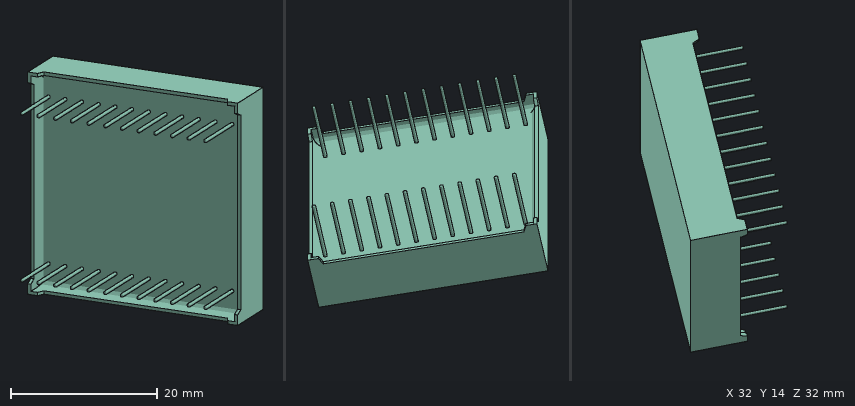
import cadquery as cq

side = 32.0
body_depth = 8.0
overall_depth = 14.0

wall = 0.5
cavity_depth = 2.43
floor_radius = 1.0

foot_width = 1.55
notch_slope = 0.48
notch_depth = 1.0

pins_per_row = 12
row_length = 27.95
row_spacing = 24.0
pin_diameter = 0.5
pin_tip_radius = 0.13

rim_y = -body_depth
floor_y = rim_y + cavity_depth
pin_pitch = row_length / (pins_per_row - 1)
pin_length = floor_y + overall_depth


def make_housing():
    """Square block hollowed from the rim, with rounded floor edges."""
    block = cq.Workplane("XZ").rect(side, side).extrude(body_depth)
    opening = side - 2 * wall
    cavity = (
        cq.Workplane("XZ", origin=(0, floor_y, 0))
        .rect(opening, opening)
        .extrude(cavity_depth)
        .faces(">Y")
        .edges()
        .fillet(floor_radius)
    )
    return block.cut(cavity)


def make_rim_notch(plane):
    """Trapezoidal bar that lowers two opposite rims between the corner feet."""
    half_mouth = side / 2 - foot_width
    half_root = half_mouth - notch_slope
    root_y = rim_y + notch_depth
    outline = [
        (-half_mouth, rim_y),
        (half_mouth, rim_y),
        (half_root, root_y),
        (-half_root, root_y),
    ]
    return cq.Workplane(plane).polyline(outline).close().extrude(side / 2, both=True)


def make_pins():
    """Both rows of round pins, rising from the cavity floor, with rounded tips."""
    return (
        cq.Workplane("XZ", origin=(0, floor_y, 0))
        .rarray(pin_pitch, row_spacing, pins_per_row, 2)
        .circle(pin_diameter / 2)
        .extrude(pin_length)
        .faces("<Y")
        .edges()
        .fillet(pin_tip_radius)
    )


housing = make_housing()
housing = housing.cut(make_rim_notch("XY"))
side_plane = cq.Plane(origin=(0, 0, 0), xDir=(0, 0, 1), normal=(-1, 0, 0))
housing = housing.cut(make_rim_notch(side_plane))

result = housing.union(make_pins())